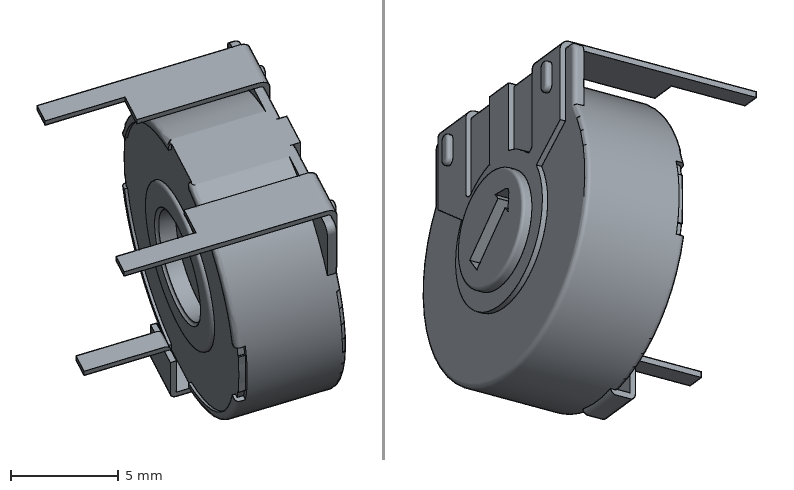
import cadquery as cq
import math


housing_radius = 7.5
housing_depth = 5.5
housing_fillet = 0.23
flat_height = 7.35
lip_inner_radius = 7.07
lip_height = 0.15
cover_radius = 7.27
cover_tab_reach = 7.24
cover_back = 0.49
notch_half_angle = 14.7
tab_half_width = 1.25

plate_half_width = 6.32
plate_thickness = 0.52
plate_corner = 0.46
plate_fillet = 0.21

metal = 0.3
pin_width = 1.03
wide_end_y = -0.9

rear_layer_thickness = 0.29
rear_face_y = housing_depth + rear_layer_thickness
contact_radius = 3.92
centre_block_half_width = 0.87

side_outer_x = 5.52
side_width = 2.52
side_pin_end_y = -4.91
side_plate_bottom = 3.45
side_plate_toe = (3.37, 1.99)
terminal_root_fillet = 0.3
rivet_x = 4.47
rivet_z = 6.09
rivet_width = 0.61
rivet_length = 1.59
rivet_height = 0.29
rivet_fillet = 0.15

centre_pin_end_y = -4.94
centre_pin_top = -4.8
centre_start_y = 0.46

rotor_front_y = -0.05
rotor_radius = 4.19
rotor_fillet = 0.15
recess_radius = 2.75
recess_depth = 1.01
rotor_rear_y = 6.27
rotor_rear_radius = 2.97

arrow_angle = 140
arrow_tail = -1.97
arrow_barb = 1.36
arrow_shaft_width = 1.0
arrow_head_half = 0.89
arrow_tip_radius = 0.34
arrow_slope = 45

margin = 0.15


def span_box(x_range, y_range, z_range):
    """Box between two limits on each axis."""
    lows, highs = zip(x_range, y_range, z_range)
    size = [high - low for low, high in zip(lows, highs)]
    return cq.Workplane("XY").box(*size, centered=False).translate(lows)


def disc(radius, front, back):
    """Round disc on the rotor axis from Y = front to Y = back."""
    return cq.Workplane("XZ", origin=(0, front, 0)).circle(radius).extrude(front - back)


def both_sides(shape):
    """Shape together with its mirror image across X = 0."""
    return shape.union(shape.mirror("YZ"))


def make_housing():
    shell = disc(housing_radius, 0, housing_depth).edges().fillet(housing_fillet)
    shell = shell.cut(disc(lip_inner_radius, 0, lip_height))
    reach = housing_radius + margin
    window_edge = reach * math.tan(math.radians(notch_half_angle))
    for side in (-1, 1):
        window = (
            cq.Workplane("XZ")
            .polyline([(0, 0), (side * reach, window_edge), (side * reach, -window_edge)])
            .close()
            .extrude(-cover_back)
        )
        lip_break = span_box(
            (-tab_half_width, tab_half_width), (0, lip_height), sorted((0, side * reach))
        )
        shell = shell.cut(window).cut(lip_break)
    cover = disc(cover_radius, lip_height, cover_back)
    tabs = span_box(
        (-cover_tab_reach, cover_tab_reach),
        (lip_height, cover_back),
        (-tab_half_width, tab_half_width),
    )
    above_flat = span_box((-reach, reach), (0, housing_depth), (flat_height, reach))
    plate_edge = span_box(
        (-reach, reach),
        (housing_depth - plate_thickness, housing_depth),
        (flat_height - plate_fillet, reach),
    )
    return shell.union(cover).union(tabs).cut(above_flat).cut(plate_edge)


def make_plate():
    plate = span_box(
        (-plate_half_width, plate_half_width),
        (housing_depth - plate_thickness, housing_depth),
        (0, flat_height),
    )
    plate = plate.edges("|Y and >Z").fillet(plate_corner)
    plate = plate.faces(">Y").edges("not <Z").fillet(plate_fillet)
    junction = math.sqrt(housing_radius**2 - plate_half_width**2)
    below = span_box(
        (-plate_half_width, plate_half_width), (0, housing_depth), (0, junction - margin)
    )
    return plate.cut(below)


def make_side_terminal():
    inner_x = side_outer_x - side_width
    top = flat_height + metal
    outer_bend = plate_fillet + metal
    strip = (
        cq.Workplane("YZ", origin=(inner_x, 0, 0))
        .moveTo(side_pin_end_y, flat_height)
        .lineTo(housing_depth - plate_fillet, flat_height)
        .radiusArc((housing_depth, flat_height - plate_fillet), plate_fillet)
        .lineTo(housing_depth, 0)
        .lineTo(rear_face_y, 0)
        .lineTo(rear_face_y, top - outer_bend)
        .radiusArc((rear_face_y - outer_bend, top), -outer_bend)
        .lineTo(side_pin_end_y, top)
        .close()
        .extrude(side_width)
    )
    beside_pin = span_box(
        (inner_x, side_outer_x - pin_width), (side_pin_end_y, wide_end_y), (flat_height, top)
    )
    below_plate = (
        cq.Workplane("XZ", origin=(0, housing_depth, 0))
        .polyline(
            [
                (side_outer_x, side_plate_bottom),
                side_plate_toe,
                (inner_x, side_plate_toe[1]),
                (inner_x, 0),
                (side_outer_x, 0),
            ]
        )
        .close()
        .extrude(-rear_layer_thickness)
    )
    rivet = (
        cq.Workplane("XZ", origin=(rivet_x, rear_face_y, rivet_z))
        .slot2D(rivet_length, rivet_width, 90)
        .extrude(-rivet_height)
        .faces(">Y")
        .edges()
        .fillet(rivet_fillet)
    )
    return strip.cut(beside_pin).cut(below_plate).union(rivet)


def make_rear_layer():
    block = span_box(
        (-centre_block_half_width, centre_block_half_width),
        (housing_depth - plate_fillet, rear_face_y),
        (0, flat_height),
    )
    layer = disc(contact_radius, housing_depth, rear_face_y)
    layer = layer.union(both_sides(make_side_terminal()))
    corner_x = side_outer_x - side_width
    corner_z = math.sqrt(contact_radius**2 - corner_x**2)
    for side in (-1, 1):
        corner = cq.selectors.BoxSelector(
            (side * corner_x - margin, housing_depth, corner_z - margin),
            (side * corner_x + margin, rear_face_y, corner_z + margin),
        )
        layer = layer.edges("|Y").edges(corner).fillet(terminal_root_fillet)
    return layer.union(block)


def make_centre_terminal():
    bottom = -flat_height - metal
    inner_y = wide_end_y + metal
    strip = (
        cq.Workplane("YZ", origin=(-tab_half_width, 0, 0))
        .moveTo(centre_start_y, -flat_height)
        .radiusArc((centre_start_y - metal, bottom), metal)
        .lineTo(wide_end_y + metal, bottom)
        .radiusArc((wide_end_y, -flat_height), metal)
        .lineTo(wide_end_y, centre_pin_top - metal)
        .lineTo(inner_y, centre_pin_top - metal)
        .lineTo(inner_y, -flat_height)
        .close()
        .extrude(2 * tab_half_width)
    )
    root = span_box(
        (-tab_half_width, tab_half_width),
        (centre_start_y - metal, centre_start_y),
        (-flat_height, -lip_inner_radius),
    )
    pin = (
        cq.Workplane("YZ", origin=(-pin_width / 2, 0, 0))
        .moveTo(inner_y, centre_pin_top - metal)
        .radiusArc((wide_end_y, centre_pin_top), -metal)
        .lineTo(centre_pin_end_y, centre_pin_top)
        .lineTo(centre_pin_end_y, centre_pin_top - metal)
        .close()
        .extrude(pin_width)
    )
    return strip.union(root).union(pin)


def make_rotor():
    front = disc(rotor_radius, rotor_front_y, cover_back).faces("<Y").edges().fillet(rotor_fillet)
    rear = disc(rotor_rear_radius, housing_depth, rotor_rear_y).faces(">Y").edges().fillet(rotor_fillet)
    return front.union(rear)


def make_recess():
    """Round recess in the front of the rotor, with a rounded mouth."""
    mouth_radius = recess_radius + rotor_fillet
    floor_y = rotor_front_y + recess_depth
    return (
        cq.Workplane("XY")
        .moveTo(0, rotor_front_y)
        .lineTo(mouth_radius, rotor_front_y)
        .radiusArc((recess_radius, rotor_front_y + rotor_fillet), -rotor_fillet)
        .lineTo(recess_radius, floor_y)
        .lineTo(0, floor_y)
        .close()
        .revolve(360, (0, 0, 0), (0, 1, 0))
    )


def make_arrow():
    """Arrow-shaped opening right through the rotor; the sides of the head slope at 45 degrees."""
    shaft_half = arrow_shaft_width / 2
    tip_half = arrow_tip_radius * math.sin(math.radians(arrow_slope))
    shoulder = arrow_barb + arrow_head_half - tip_half
    tip = shoulder - tip_half + arrow_tip_radius
    arrow = (
        cq.Workplane("XZ")
        .moveTo(arrow_tail, -shaft_half)
        .lineTo(arrow_barb, -shaft_half)
        .lineTo(arrow_barb, -arrow_head_half)
        .lineTo(shoulder, -tip_half)
        .threePointArc((tip, 0), (shoulder, tip_half))
        .lineTo(arrow_barb, arrow_head_half)
        .lineTo(arrow_barb, shaft_half)
        .lineTo(arrow_tail, shaft_half)
        .close()
        .extrude(-rotor_rear_y)
    )
    return arrow.rotate((0, 0, 0), (0, 1, 0), -arrow_angle)


result = (
    make_housing()
    .union(make_plate())
    .union(make_rear_layer())
    .union(make_centre_terminal())
    .union(make_rotor())
    .cut(make_recess())
    .cut(make_arrow())
)